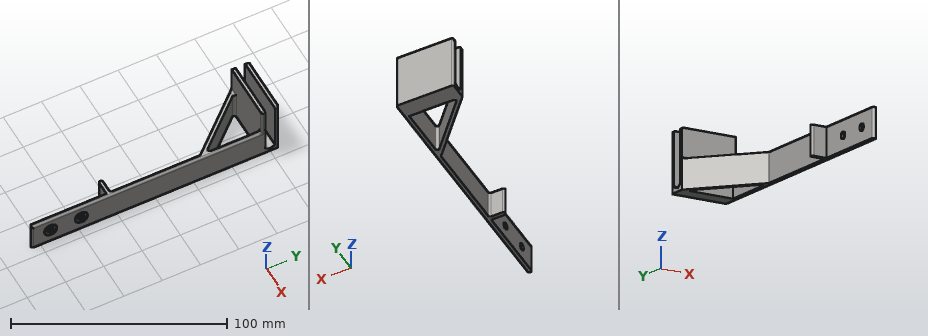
import cadquery as cq
import math

width = 30.0
length = 129.0
clip_height = 30.0
arm_height = 15.0

clip_wall = 2.0
slot_width = 5.0
slot_floor = 2.0
slot_floor_radius = 3.25
clip_depth = 2 * clip_wall + slot_width
clip_front = length - clip_depth

arm_thickness = 2.0
arm_left = width - arm_thickness

hole_diameter = 3.4
counterbore_diameter = 6.5
counterbore_depth = 0.5
hole_positions = (10.0, 26.0)
hole_height = arm_height / 2

brace_length = 31.0
brace_thickness = 2.0
brace_foot = clip_front - brace_length
brace_face_length = math.hypot(arm_left, brace_length)
brace_thickness_along_x = brace_thickness * brace_face_length / brace_length
brace_thickness_along_y = brace_thickness * brace_face_length / arm_left

tab_front = 40.0
tab_thickness = 2.0
tab_length = 8.0
tab_back = tab_front + tab_thickness

outer_edge_radius = 0.99
inner_corner_radius = 1.0

selection_margin = 0.01


def make_clip():
    """U-shaped channel whose floor is a shallow arc."""
    block = (
        cq.Workplane("XY")
        .box(width, clip_depth, clip_height, centered=False)
        .translate((0, clip_front, 0))
    )
    half_slot = slot_width / 2
    arc_rise = slot_floor_radius - math.sqrt(slot_floor_radius**2 - half_slot**2)
    slot_front = clip_front + clip_wall
    slot_back = slot_front + slot_width
    slot = (
        cq.Workplane("YZ")
        .moveTo(slot_front, clip_height)
        .lineTo(slot_front, slot_floor + arc_rise)
        .threePointArc(
            (slot_front + half_slot, slot_floor),
            (slot_back, slot_floor + arc_rise),
        )
        .lineTo(slot_back, clip_height)
        .close()
        .extrude(width)
    )
    return block.cut(slot)


def make_arm():
    """Strip with a fully rounded free end and a rounded top edge on its +X side."""
    end_radius = arm_thickness / 2
    outline = (
        cq.Workplane("XY")
        .moveTo(arm_left, clip_front)
        .lineTo(arm_left, end_radius)
        .threePointArc((arm_left + end_radius, 0), (width, end_radius))
        .lineTo(width, clip_front)
        .close()
        .extrude(arm_height)
    )
    bar = (
        cq.Workplane("XY")
        .box(arm_thickness, clip_front, arm_height, centered=False)
        .translate((arm_left, 0, 0))
        .edges("|Y and >X and >Z")
        .fillet(outer_edge_radius)
    )
    return outline.intersect(bar)


def make_brace():
    """Diagonal web, with its outer face starting at the clip's corner."""
    return (
        cq.Workplane("XY")
        .moveTo(0, clip_front)
        .lineTo(arm_left, brace_foot)
        .lineTo(arm_left, brace_foot + brace_thickness_along_y)
        .lineTo(brace_thickness_along_x, clip_front)
        .close()
        .extrude(arm_height)
    )


def make_tab():
    """Short stop with a fully rounded tip."""
    tip_radius = tab_thickness / 2
    tip = arm_left - tab_length
    return (
        cq.Workplane("XY")
        .moveTo(arm_left, tab_front)
        .lineTo(tip + tip_radius, tab_front)
        .threePointArc((tip, tab_front + tip_radius), (tip + tip_radius, tab_back))
        .lineTo(arm_left, tab_back)
        .close()
        .extrude(arm_height)
    )


def inside_box(low_corner, high_corner):
    """Selector for the edges whose centres lie in the box between two corners."""
    low = [value - selection_margin for value in low_corner]
    high = [value + selection_margin for value in high_corner]
    return cq.selectors.BoxSelector(low, high)


def round_inner_corners(body):
    """Upright fillets at both ends of the brace and behind the tab."""
    corners = (
        (brace_thickness_along_x, clip_front),
        (arm_left, brace_foot),
        (arm_left, brace_foot + brace_thickness_along_y),
        (arm_left, tab_back),
    )
    for x, y in corners:
        corner = body.edges(inside_box((x, y, 0), (x, y, arm_height)))
        body = corner.fillet(inner_corner_radius)
    return body


def round_clip_ends(body):
    """Fillets on the clip's top ends and on its free upright edges."""
    top_ends = body.edges("|Y").edges(
        inside_box((0, clip_front, clip_height), (width, length, clip_height))
    )
    back_uprights = body.edges("|Z").edges(
        inside_box((0, length, 0), (width, length, clip_height))
    )
    upright_above_arm = body.edges("|Z").edges(
        inside_box((width, clip_front, arm_height), (width, clip_front, clip_height))
    )
    return top_ends.add(back_uprights).add(upright_above_arm).fillet(outer_edge_radius)


def round_junction(body):
    """Fillets where the tops of the arm and the brace run into the clip."""
    junction = body.edges("|X").edges(
        inside_box((0, clip_front, arm_height), (width, clip_front, arm_height))
    )
    return junction.fillet(inner_corner_radius)


def drill_holes(body):
    """Counterbored screw holes through the arm near its free end."""
    return (
        body.copyWorkplane(cq.Workplane("YZ", origin=(width, 0, 0)))
        .pushPoints([(y, hole_height) for y in hole_positions])
        .cboreHole(hole_diameter, counterbore_diameter, counterbore_depth, arm_thickness)
    )


bracket = make_clip().union(make_arm()).union(make_brace()).union(make_tab())
bracket = round_inner_corners(bracket)
bracket = round_clip_ends(bracket)
bracket = round_junction(bracket)
result = drill_holes(bracket)